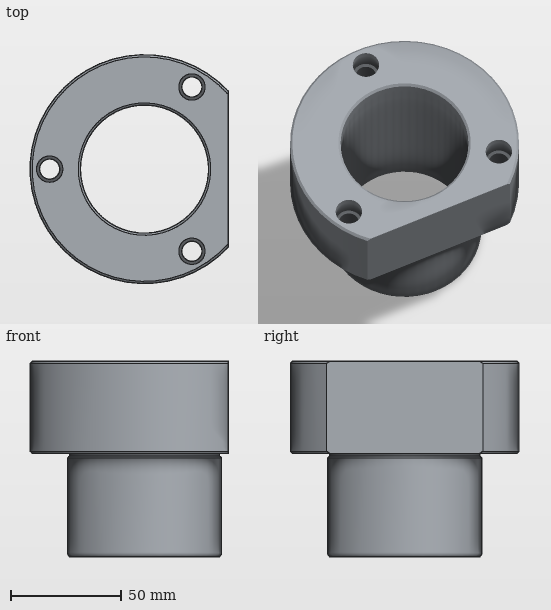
import cadquery as cq

total_height = 89.0

flange_diameter = 103.9
flange_height = 42.0
flange_chamfer = 1.0
flat_offset = 38.0

spigot_diameter = 70.0
spigot_height = total_height - flange_height
spigot_end_fillet = 2.0
relief_diameter = 68.2
relief_height = 1.0
relief_depth = (spigot_diameter - relief_diameter) / 2

bore_diameter = 58.0
bore_chamfer = 1.0

bolt_count = 3
bolt_circle_radius = 43.0
first_bolt_angle = 60.0
bolt_hole_diameter = 9.0
counterbore_diameter = 12.0
counterbore_depth = 11.0


def make_flange():
    """Chamfered disc, then cut flat so that the flat keeps sharp edges."""
    disc = (
        cq.Workplane("XY")
        .workplane(offset=spigot_height)
        .circle(flange_diameter / 2)
        .extrude(flange_height)
        .edges()
        .chamfer(flange_chamfer)
    )
    beyond_flat = (
        cq.Workplane("XY")
        .box(flange_diameter, flange_diameter, total_height, centered=(False, True, False))
        .translate((flat_offset, 0, 0))
    )
    return disc.cut(beyond_flat)


def make_spigot():
    """Cylinder with a rounded lower end, a sloped shoulder and a narrower neck under the flange."""
    body = (
        cq.Workplane("XY")
        .circle(spigot_diameter / 2)
        .extrude(spigot_height - relief_height)
        .faces("<Z")
        .edges()
        .fillet(spigot_end_fillet)
        .faces(">Z")
        .edges()
        .chamfer(relief_depth)
    )
    neck = cq.Workplane("XY").circle(relief_diameter / 2).extrude(spigot_height)
    return body.union(neck)


def cut_bore(body):
    """Through bore with a chamfered mouth at the top."""
    return (
        body.faces(">Z")
        .workplane(origin=(0, 0, 0))
        .hole(bore_diameter)
        .faces(">Z")
        .edges(cq.selectors.RadiusNthSelector(-2))
        .chamfer(bore_chamfer)
    )


def cut_bolt_holes(body):
    """Counterbored holes equally spaced about the axis, through the flange."""
    return (
        body.faces(">Z")
        .workplane(origin=(0, 0, 0))
        .polarArray(bolt_circle_radius, first_bolt_angle, 360, bolt_count)
        .cboreHole(bolt_hole_diameter, counterbore_diameter, counterbore_depth)
    )


result = cut_bolt_holes(cut_bore(make_flange().union(make_spigot())))